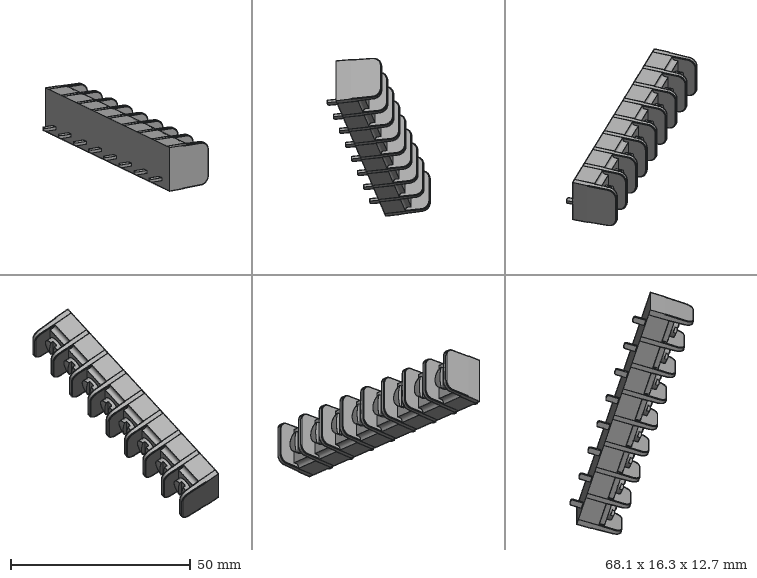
import cadquery as cq
import math

length = 68.1
height = 12.7
housing_depth = 12.8
pole_count = 8

straight_depth = 4.35
fence_root_thickness = 1.8
fence_tip_thickness = 1.3
fence_tip_drop = 0.2
fence_corner_radius = 2.45
fence_rim_chamfer = 0.2
pitch = (length - fence_root_thickness) / pole_count

rib_width = fence_root_thickness - 2 * fence_rim_chamfer
bay_depth = 6.0
ledge_depth = 7.6
ledge_drop = 1.2
shoulder_radius = 0.8

screw_radius = 3.3
screw_rim_depth = 9.3
screw_top_depth = 9.8
slot_width = 1.6
slot_floor_depth = 8.6

pin_width = 1.6
pin_thickness = 0.8
pin_length = 3.5
pin_corner_radius = 0.55
pin_height = 2.45

half_height = height / 2
fence_positions = [(i - pole_count / 2) * pitch for i in range(pole_count + 1)]
pole_positions = [(i - (pole_count - 1) / 2) * pitch for i in range(pole_count)]


def box_between(x_range, y_range, z_range):
    """Axis-aligned box given by its limits along each axis."""
    size = [high - low for low, high in (x_range, y_range, z_range)]
    corner = (x_range[0], y_range[0], z_range[0])
    return cq.Workplane("XY").box(*size, centered=False).translate(corner)


def make_bay_core():
    """Full-length core; filleted shoulders step down to the ledge that carries the screws."""
    ledge_top = half_height - ledge_drop
    fillet_y = bay_depth + shoulder_radius
    fillet_z = ledge_top + shoulder_radius
    fillet_inset = shoulder_radius * (1 - math.sqrt(0.5))
    arc_y = bay_depth + fillet_inset
    arc_z = ledge_top + fillet_inset
    core_length = length - fence_root_thickness
    return (
        cq.Workplane("YZ")
        .moveTo(0, -half_height)
        .lineTo(bay_depth, -half_height)
        .lineTo(bay_depth, -fillet_z)
        .threePointArc((arc_y, -arc_z), (fillet_y, -ledge_top))
        .lineTo(ledge_depth, -ledge_top)
        .lineTo(ledge_depth, ledge_top)
        .lineTo(fillet_y, ledge_top)
        .threePointArc((arc_y, arc_z), (bay_depth, fillet_z))
        .lineTo(bay_depth, half_height)
        .lineTo(0, half_height)
        .close()
        .extrude(core_length / 2, both=True)
    )


def make_fence_side_outline(thickness):
    """Slab centred on x = 0 with the side shape of a fence: sloping rims and rounded tip corners."""
    tip_half_height = half_height - fence_tip_drop
    return (
        cq.Workplane("YZ")
        .polyline([
            (0, -half_height),
            (housing_depth, -tip_half_height),
            (housing_depth, tip_half_height),
            (0, half_height),
        ])
        .close()
        .extrude(thickness / 2, both=True)
        .edges("|X and >Y")
        .fillet(fence_corner_radius)
    )


def make_drafted_fence():
    """Drafted part of a fence, centred on x = 0, with a chamfered rim."""
    thickness_outline = (
        cq.Workplane("XY")
        .polyline([
            (-fence_root_thickness / 2, straight_depth),
            (fence_root_thickness / 2, straight_depth),
            (fence_tip_thickness / 2, housing_depth),
            (-fence_tip_thickness / 2, housing_depth),
        ])
        .close()
        .extrude(half_height, both=True)
    )
    plate = make_fence_side_outline(fence_root_thickness).intersect(thickness_outline)
    root_edges = plate.faces("<Y").edges()
    side_edges = plate.faces("<X or >X").edges()
    rim_edges = [
        edge for edge in side_edges.vals()
        if not any(edge.isSame(root_edge) for root_edge in root_edges.vals())
    ]
    return plate.newObject(rim_edges).chamfer(fence_rim_chamfer)


def make_straight_rib():
    """Part of a fence that crosses the bay tops, centred on x = 0."""
    return make_fence_side_outline(rib_width).intersect(
        box_between((-length, length), (0, bay_depth), (-half_height, half_height))
    )


def make_end_cap():
    """Wall that fills the full section between an end fence rib and the left end face."""
    return make_fence_side_outline(fence_root_thickness).intersect(
        box_between((-fence_root_thickness / 2, 0), (0, straight_depth), (-half_height, half_height))
    )


def make_screw():
    """Domed, slotted screw head on the ledge, centred on x = 0."""
    dome_height = screw_top_depth - screw_rim_depth
    sphere_radius = (screw_radius**2 + dome_height**2) / (2 * dome_height)
    half_angle = math.asin(screw_radius / sphere_radius) / 2
    arc_x = sphere_radius * math.sin(half_angle)
    arc_y = screw_top_depth - sphere_radius * (1 - math.cos(half_angle))
    head = (
        cq.Workplane("XY")
        .moveTo(0, bay_depth)
        .lineTo(screw_radius, bay_depth)
        .lineTo(screw_radius, screw_rim_depth)
        .threePointArc((arc_x, arc_y), (0, screw_top_depth))
        .close()
        .revolve(360, (0, 0, 0), (0, 1, 0))
    )
    slot = box_between(
        (-slot_width / 2, slot_width / 2),
        (slot_floor_depth, housing_depth),
        (-half_height, half_height),
    )
    return head.cut(slot)


def make_pin():
    """Flat pin with rounded tip corners, centred on x = 0 and rooted in the housing."""
    z = pin_height - half_height
    return box_between(
        (-pin_width / 2, pin_width / 2),
        (-pin_length, straight_depth / 2),
        (z - pin_thickness / 2, z + pin_thickness / 2),
    ).edges("|Z and <Y").fillet(pin_corner_radius)


result = make_bay_core()

channel = box_between(
    (-rib_width / 2, rib_width / 2),
    (0, ledge_depth),
    (-half_height, half_height),
)
fence = make_straight_rib().union(make_drafted_fence())
for x in fence_positions:
    result = result.cut(channel.translate((x, 0, 0)))
    result = result.union(fence.translate((x, 0, 0)))

end_cap = make_end_cap().translate((fence_positions[0], 0, 0))
result = result.union(end_cap).union(end_cap.mirror("YZ"))

screw = make_screw()
pin = make_pin()
for x in pole_positions:
    result = result.union(screw.translate((x, 0, 0)))
    result = result.union(pin.translate((x, 0, 0)))